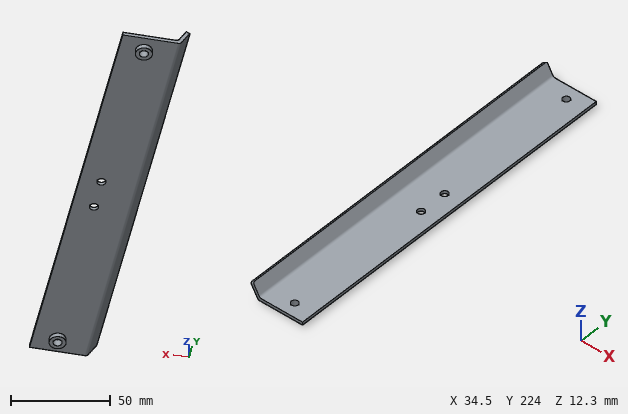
import cadquery as cq
import math

length = 224.0
width = 34.5
height = 12.3

thickness = 2.0
bend_angle = math.radians(60)
inner_bend_radius = 2.0
outer_bend_radius = 2.0
tip_corner_radius = 1.1

standoff_height = 2.5
standoff_diameter = 8.5
standoff_x = 22.0
standoff_y = 103.5
standoff_hole_diameter = 4.5

middle_hole_x = 23.5
middle_hole_y = 9.0
middle_hole_diameter = 4.5

cos_bend = math.cos(bend_angle)
sin_bend = math.sin(bend_angle)
flange_height = height - standoff_height
flange_length = (flange_height - thickness * cos_bend) / sin_bend
outer_corner_x = flange_length * cos_bend
tangent_ratio = math.tan(bend_angle / 2)
outer_bend_x = outer_corner_x + outer_bend_radius * tangent_ratio
inner_bend_x = outer_corner_x + (thickness + inner_bend_radius) * tangent_ratio


def outer_bend_point(angle):
    """Point on the outer bend arc, with the angle measured from straight down towards the flange."""
    return (
        outer_bend_x - outer_bend_radius * math.sin(angle),
        outer_bend_radius * (1 - math.cos(angle)),
    )


def inner_bend_point(angle):
    """Point on the inner bend arc, with the angle measured from straight down towards the flange."""
    return (
        inner_bend_x - inner_bend_radius * math.sin(angle),
        thickness + inner_bend_radius * (1 - math.cos(angle)),
    )


def make_sheet():
    """Flat plate with an upturned flange, extruded along Y and centred on it."""
    tip_outer = (0, flange_length * sin_bend)
    tip_inner = (thickness * sin_bend, flange_height)
    sheet = (
        cq.Workplane("XZ")
        .moveTo(width, 0)
        .lineTo(*outer_bend_point(0))
        .threePointArc(outer_bend_point(bend_angle / 2), outer_bend_point(bend_angle))
        .lineTo(*tip_outer)
        .lineTo(*tip_inner)
        .lineTo(*inner_bend_point(bend_angle))
        .threePointArc(inner_bend_point(bend_angle / 2), inner_bend_point(0))
        .lineTo(width, thickness)
        .close()
        .extrude(length / 2, both=True)
    )
    tip_direction = cq.Vector(sin_bend, 0, cos_bend)
    tip_corners = sheet.faces("<Y or >Y").edges(cq.selectors.ParallelDirSelector(tip_direction))
    return tip_corners.fillet(tip_corner_radius)


def make_cylinders(points, diameter, bottom, top):
    """Vertical cylinders at the given points."""
    base = cq.Workplane("XY", origin=(0, 0, bottom))
    return base.pushPoints(points).circle(diameter / 2).extrude(top - bottom)


standoff_points = [(standoff_x, side * standoff_y) for side in (-1, 1)]
middle_points = [(middle_hole_x, side * middle_hole_y) for side in (-1, 1)]

result = (
    make_sheet()
    .union(make_cylinders(standoff_points, standoff_diameter, -standoff_height, thickness))
    .cut(make_cylinders(standoff_points, standoff_hole_diameter, -standoff_height, thickness))
    .cut(make_cylinders(middle_points, middle_hole_diameter, 0, thickness))
)